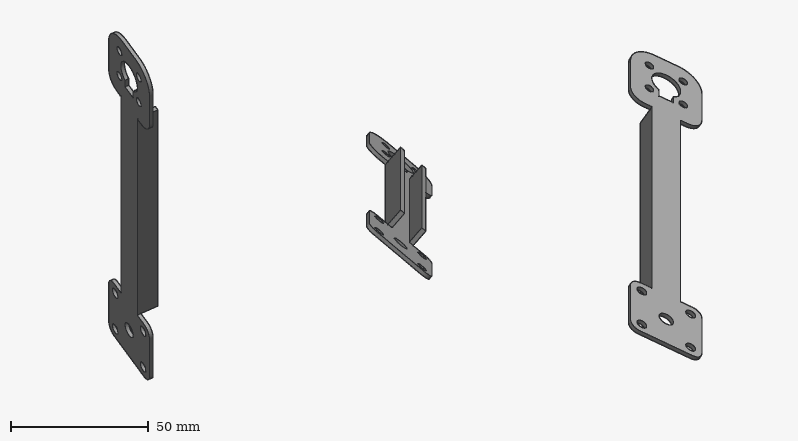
import cadquery as cq

total_height = 175.0
plate_width = 30.0
sheet_thickness = 1.5
channel_depth = 8.5

arm_width = 12.0
wall_thickness = 2.0

lower_corner_radius = 4.0
lower_bore_diameter = 6.0
lower_hole_pitch = 20.5
lower_hole_diameter = 4.0
lower_top_z = plate_width / 2
bottom_z = -plate_width / 2

upper_height = 32.7
upper_top_radius = 10.0
upper_bottom_radius = 6.0
upper_bore_diameter = 12.0
upper_hole_pitch = 14.2
upper_hole_diameter = 3.5
slot_width = 6.0
slot_reach = 9.0
top_z = bottom_z + total_height
upper_bottom_z = top_z - upper_height
upper_bore_z = top_z - plate_width / 2


def box(width, depth, bottom, top):
    """Block centred in X, with its front face on Y = 0."""
    block = cq.Workplane("XY").box(width, depth, top - bottom, centered=(True, False, False))
    return block.translate((0, 0, bottom))


def hole(diameter, x, z):
    """Cylinder along Y that passes through the sheet."""
    profile = cq.Workplane("XZ").center(x, z).circle(diameter / 2)
    return profile.extrude(-sheet_thickness)


def cut_square_pattern(plate, diameter, pitch, center_z):
    """Cut four holes at the corners of a square."""
    for x in (-pitch / 2, pitch / 2):
        for z in (-pitch / 2, pitch / 2):
            plate = plate.cut(hole(diameter, x, center_z + z))
    return plate


def make_lower_plate():
    plate = box(plate_width, sheet_thickness, bottom_z, lower_top_z)
    plate = plate.edges("|Y").fillet(lower_corner_radius)
    plate = plate.cut(hole(lower_bore_diameter, 0, 0))
    return cut_square_pattern(plate, lower_hole_diameter, lower_hole_pitch, 0)


def make_upper_plate():
    plate = box(plate_width, sheet_thickness, upper_bottom_z, top_z)
    plate = plate.faces(">Z").edges("|Y").fillet(upper_top_radius)
    plate = plate.faces("<Z").edges("|Y").fillet(upper_bottom_radius)
    plate = plate.cut(hole(upper_bore_diameter, 0, upper_bore_z))
    plate = plate.cut(box(slot_width, sheet_thickness, upper_bore_z - slot_reach, upper_bore_z))
    return cut_square_pattern(plate, upper_hole_diameter, upper_hole_pitch, upper_bore_z)


def make_arm():
    outer = box(arm_width, channel_depth, lower_top_z, upper_bottom_z)
    inner_width = arm_width - 2 * wall_thickness
    inner = box(inner_width, channel_depth, lower_top_z, upper_bottom_z)
    return outer.cut(inner.translate((0, sheet_thickness, 0)))


result = make_lower_plate().union(make_arm()).union(make_upper_plate())